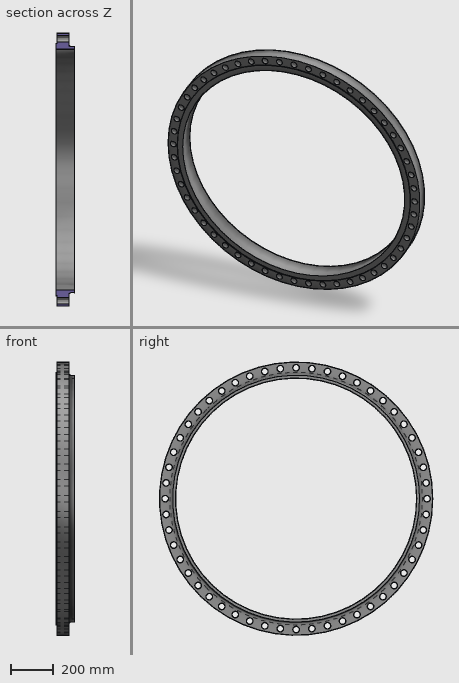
import cadquery as cq

outer_diameter = 1276.0
total_length = 87.0
bore_diameter = 1125.0

raised_face_diameter = 1180.0
raised_face_height = 4.0

flange_thickness = 57.0
neck_diameter = 1153.0
neck_fillet_radius = 8.0

bolt_count = 52
bolt_circle_diameter = 1223.0
bolt_hole_diameter = 29.0

flange_front = raised_face_height
flange_back = flange_front + flange_thickness


def disc(start, end, diameter):
    """Solid cylinder about the X axis between two axial positions."""
    return cq.Workplane("YZ").workplane(offset=start).circle(diameter / 2).extrude(end - start)


def make_body():
    """Raised face, flange and neck, with a fillet where the neck meets the flange."""
    raised_face = disc(0, flange_front, raised_face_diameter)
    flange = disc(flange_front, flange_back, outer_diameter)
    neck = disc(flange_back, total_length, neck_diameter)
    body = raised_face.union(flange).union(neck)
    neck_root = cq.selectors.RadiusNthSelector(0)
    return body.faces(">X[-2]").edges(neck_root).fillet(neck_fillet_radius)


def make_bolt_holes():
    """Through holes evenly spaced on the bolt circle, the first one on the Y axis."""
    return (
        cq.Workplane("YZ")
        .polarArray(bolt_circle_diameter / 2, 0, 360, bolt_count)
        .circle(bolt_hole_diameter / 2)
        .extrude(total_length)
    )


bore = disc(0, total_length, bore_diameter)
result = make_body().cut(bore).cut(make_bolt_holes())